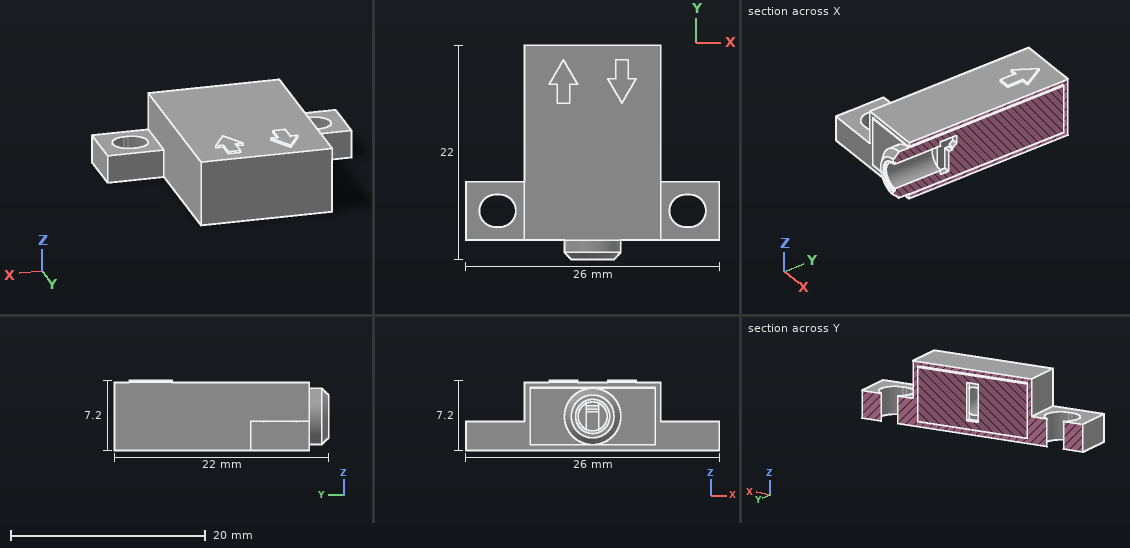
import cadquery as cq

overall_width = 26.0
body_width = 14.0
body_length = 20.0
body_height = 7.0
overlap = 0.25

ear_length = 6.0
ear_height = 3.0
slot_length = 3.72
slot_width = 3.3
slot_spacing = 19.5

arrow_relief = 0.2
arrow_length = 4.42
arrow_head_length = 2.5
arrow_head_width = 2.9
arrow_shaft_width = 1.3
arrow_spacing = 6.0
arrow_edge_gap = 1.5

wall = 0.6
top_gap = 0.08
cavity_width = 12.85
cavity_height = 5.88
cavity_depth = body_length - wall
insert_height = cavity_height - top_gap

nozzle_diameter = 5.8
nozzle_tip_diameter = 4.4
nozzle_length = 2.0
nozzle_cone_length = 0.73
nozzle_z = wall + insert_height / 2

bore_diameter = 3.0
bore_depth = 5.98
counterbore_diameter = 3.5
counterbore_depth = 0.2

key_slot_width = 1.3
key_slot_height = 4.0
step_height = 0.5
slope_bottom_height = 0.73
slope_top_height = 1.1
lower_depth = 1.0
step_depth = 1.5
upper_depth = 2.0


def front_cylinder(diameter, y_start, y_end):
    """Cylinder on the nozzle axis, running in +Y from y_start to y_end."""
    return (
        cq.Workplane("XZ", origin=(0, y_start, nozzle_z))
        .circle(diameter / 2)
        .extrude(y_start - y_end)
    )


def make_arrow(x, y_tail, direction):
    """Raised arrow on the top face, pointing to +Y (1) or -Y (-1)."""
    y_head = y_tail + direction * (arrow_length - arrow_head_length)
    y_tip = y_tail + direction * arrow_length
    half_shaft = arrow_shaft_width / 2
    half_head = arrow_head_width / 2
    return (
        cq.Workplane("XY", origin=(0, 0, body_height - overlap))
        .polyline([
            (x - half_shaft, y_tail),
            (x + half_shaft, y_tail),
            (x + half_shaft, y_head),
            (x + half_head, y_head),
            (x, y_tip),
            (x - half_head, y_head),
            (x - half_shaft, y_head),
        ])
        .close()
        .extrude(arrow_relief + overlap)
    )


def make_housing():
    """Box open at the front, with two slotted ears and two raised arrows."""
    body = cq.Workplane("XY").box(body_width, body_length, body_height, centered=(True, False, False))
    ears = cq.Workplane("XY").box(overall_width, ear_length, ear_height, centered=(True, False, False))
    slots = (
        cq.Workplane("XY")
        .pushPoints([(-slot_spacing / 2, ear_length / 2), (slot_spacing / 2, ear_length / 2)])
        .slot2D(slot_length, slot_width)
        .extrude(ear_height)
    )
    cavity = (
        cq.Workplane("XY", origin=(0, 0, wall))
        .box(cavity_width, cavity_depth, cavity_height, centered=(True, False, False))
    )
    arrow_far_y = body_length - arrow_edge_gap
    arrow_near_y = arrow_far_y - arrow_length
    away_arrow = make_arrow(-arrow_spacing / 2, arrow_near_y, 1)
    toward_arrow = make_arrow(arrow_spacing / 2, arrow_far_y, -1)
    return body.union(ears).cut(slots).union(away_arrow).union(toward_arrow).cut(cavity)


def make_nozzle():
    """Round nozzle ahead of the front face, with a conical tip."""
    cone_inset = (nozzle_diameter - nozzle_tip_diameter) / 2
    cylinder = front_cylinder(nozzle_diameter, -nozzle_length, overlap)
    return cylinder.faces("<Y").chamfer(nozzle_cone_length, cone_inset)


def make_key_slot():
    """Slot cut into the bore floor, as a side profile extruded across X."""
    y_floor = bore_depth - nozzle_length
    half_height = key_slot_height / 2
    return (
        cq.Workplane("YZ", origin=(0, y_floor, nozzle_z))
        .polyline([
            (0, -half_height),
            (lower_depth, -half_height),
            (lower_depth, step_height),
            (step_depth, step_height),
            (step_depth, slope_bottom_height),
            (upper_depth, slope_top_height),
            (upper_depth, half_height),
            (0, half_height),
        ])
        .close()
        .extrude(key_slot_width / 2, both=True)
    )


def make_insert():
    """Block filling the cavity below the top gap, with the bored nozzle."""
    block = (
        cq.Workplane("XY", origin=(0, 0, wall))
        .box(cavity_width, cavity_depth, insert_height, centered=(True, False, False))
    )
    bore = front_cylinder(bore_diameter, -nozzle_length, bore_depth - nozzle_length)
    counterbore = front_cylinder(counterbore_diameter, -nozzle_length, counterbore_depth - nozzle_length)
    return block.union(make_nozzle()).cut(bore).cut(counterbore).cut(make_key_slot())


housing = make_housing()
insert = make_insert()

result = cq.Compound.makeCompound([housing.val(), insert.val()])